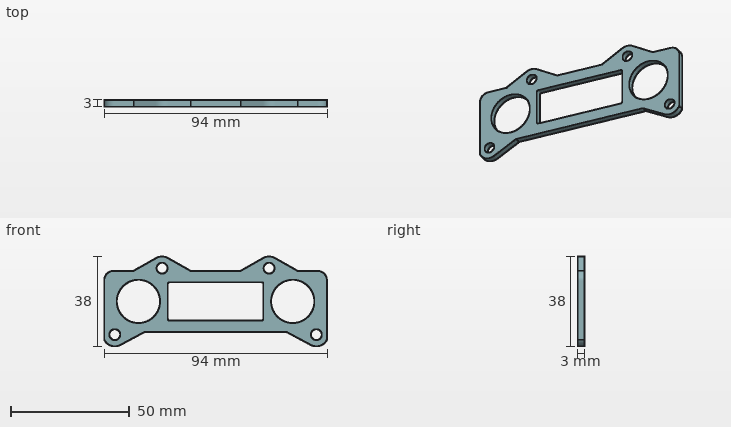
import cadquery as cq
import math

length = 94.0
thickness = 3.0
body_height = 25.85
corner_radius = 4.0

screw_diameter = 4.5
ear_radius = 5.0
screw_z = 14.0
upper_screw_x = 22.6
lower_screw_x = 42.5
upper_ear_reach = 12.0
lower_ear_reach = 12.6

round_opening_diameter = 18.1
round_opening_x = 32.5
window_length = 40.1
window_height = 16.1
window_corner_radius = 0.6

half_length = length / 2
half_height = body_height / 2


def flank_tangent_offset(reach):
    """Offset (across, outward) from the screw axis to where a flank meets the ear arc."""
    foot_drop = screw_z - half_height
    foot_distance = math.hypot(reach, foot_drop)
    normal_angle = math.acos(ear_radius / foot_distance) - math.atan2(foot_drop, reach)
    return ear_radius * math.cos(normal_angle), ear_radius * math.sin(normal_angle)


def make_half_plate():
    """Right half of the plate, drawn clockwise from the top of the centre line."""
    upper_across, upper_out = flank_tangent_offset(upper_ear_reach)
    lower_across, lower_out = flank_tangent_offset(lower_ear_reach)

    edge_gap = half_length - lower_screw_x
    edge_drop = math.sqrt(ear_radius**2 - edge_gap**2)

    corner_inset = corner_radius * (1 - math.sqrt(0.5))
    outline = (
        cq.Workplane("XZ")
        .moveTo(0, half_height)
        .lineTo(upper_screw_x - upper_ear_reach, half_height)
        .lineTo(upper_screw_x - upper_across, screw_z + upper_out)
        .threePointArc(
            (upper_screw_x, screw_z + ear_radius),
            (upper_screw_x + upper_across, screw_z + upper_out),
        )
        .lineTo(upper_screw_x + upper_ear_reach, half_height)
        .lineTo(half_length - corner_radius, half_height)
        .threePointArc(
            (half_length - corner_inset, half_height - corner_inset),
            (half_length, half_height - corner_radius),
        )
        .lineTo(half_length, -screw_z - edge_drop)
        .threePointArc(
            (lower_screw_x, -screw_z - ear_radius),
            (lower_screw_x - lower_across, -screw_z - lower_out),
        )
        .lineTo(lower_screw_x - lower_ear_reach, -half_height)
        .lineTo(0, -half_height)
        .close()
    )
    return outline.extrude(thickness / 2, both=True)


def make_hole_cutter(diameter, centres):
    return (
        cq.Workplane("XZ")
        .pushPoints(centres)
        .circle(diameter / 2)
        .extrude(thickness, both=True)
    )


def make_window_cutter():
    return (
        cq.Workplane("XZ")
        .rect(window_length, window_height)
        .extrude(thickness, both=True)
        .edges("|Y")
        .fillet(window_corner_radius)
    )


half_plate = make_half_plate()
plate = half_plate.union(half_plate.mirror("YZ")).clean()

screw_centres = []
round_opening_centres = []
for side in (-1, 1):
    screw_centres.append((side * upper_screw_x, screw_z))
    screw_centres.append((side * lower_screw_x, -screw_z))
    round_opening_centres.append((side * round_opening_x, 0))

result = (
    plate.cut(make_hole_cutter(screw_diameter, screw_centres))
    .cut(make_hole_cutter(round_opening_diameter, round_opening_centres))
    .cut(make_window_cutter())
)